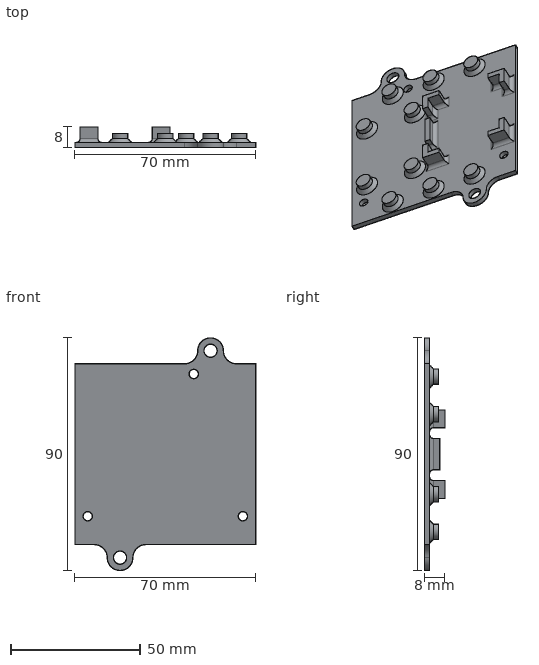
import cadquery as cq

PLATE_SIDE = 70.0
PLATE_THICKNESS = 2.0
HALF_SIDE = PLATE_SIDE / 2

EAR_X = 17.5
EAR_RADIUS = 5.0
EAR_BLEND_RADIUS = 5.0
EAR_HOLE_DIAMETER = 5.0
EAR_Z = HALF_SIDE + EAR_BLEND_RADIUS

PLATE_HOLE_DIAMETER = 3.5
PLATE_HOLES = [(11.0, 31.0), (-30.0, -24.0), (30.0, -24.0)]

STANDOFF_RADIUS = 3.0
STANDOFF_HEIGHT = 3.5
OUTER_ROWS_Z = 30.0
OUTER_COLUMNS_X = (-EAR_X, 0.0, EAR_X)
INNER_ROWS_Z = 15.5
INNER_COLUMNS_X = (8.0, 28.5)

POCKET_LEFT = -33.0
POCKET_WIDTH = 34.9
POCKET_HEIGHT = 34.3
POCKET_CENTER_X = POCKET_LEFT + POCKET_WIDTH / 2
WALL_THICKNESS = 2.2
BRACKET_LEG = 7.0
BRACKET_RISE = 6.0
SIDE_WALL_LENGTH = 12.2
SIDE_WALL_RISE = 4.0

FOOT_SIZE = 1.5

PICK_MARGIN = 0.01


def plane_at(y):
    """Plane parallel to XZ at height y, with local axes X and Z; extruding by a negative length goes to +Y."""
    return cq.Workplane("XZ", origin=(0, y, 0))


def ear_profile():
    """Upper ear: a round end that runs into the plate edge through two concave arcs."""
    inner = EAR_RADIUS
    outer = EAR_RADIUS + EAR_BLEND_RADIUS
    return (
        plane_at(0)
        .moveTo(EAR_X - outer, HALF_SIDE)
        .radiusArc((EAR_X - inner, EAR_Z), -EAR_BLEND_RADIUS)
        .threePointArc((EAR_X, EAR_Z + EAR_RADIUS), (EAR_X + inner, EAR_Z))
        .radiusArc((EAR_X + outer, HALF_SIDE), -EAR_BLEND_RADIUS)
        .close()
    )


def make_plate():
    square = plane_at(0).rect(PLATE_SIDE, PLATE_SIDE).extrude(-PLATE_THICKNESS)
    upper_ear = ear_profile().extrude(-PLATE_THICKNESS)
    lower_ear = upper_ear.rotate((0, 0, 0), (0, 1, 0), 180)
    return square.union(upper_ear).union(lower_ear)


def make_standoff(x, z):
    """Solid of revolution about an axis parallel to Y, its foot resting on the back of the plate."""
    foot_radius = STANDOFF_RADIUS + FOOT_SIZE
    return (
        cq.Workplane("XY", origin=(x, PLATE_THICKNESS, z))
        .polyline([
            (0, 0),
            (foot_radius, 0),
            (STANDOFF_RADIUS, FOOT_SIZE),
            (STANDOFF_RADIUS, STANDOFF_HEIGHT),
            (0, STANDOFF_HEIGHT),
        ])
        .close()
        .revolve(360, (0, 0, 0), (0, 1, 0))
    )


def add_standoffs(body):
    for rows_z, columns_x in ((OUTER_ROWS_Z, OUTER_COLUMNS_X), (INNER_ROWS_Z, INNER_COLUMNS_X)):
        for x in columns_x:
            for z in (-rows_z, rows_z):
                body = body.union(make_standoff(x, z))
    return body


def make_bracket(side_x, side_z):
    """L-shaped bracket whose outer corner is the pocket corner on the given sides (-1 or 1)."""
    corner_x = POCKET_CENTER_X + side_x * POCKET_WIDTH / 2
    corner_z = side_z * POCKET_HEIGHT / 2
    distances_inward = [
        (0, 0),
        (BRACKET_LEG, 0),
        (BRACKET_LEG, WALL_THICKNESS),
        (WALL_THICKNESS, WALL_THICKNESS),
        (WALL_THICKNESS, BRACKET_LEG),
        (0, BRACKET_LEG),
    ]
    outline = [(corner_x - side_x * dx, corner_z - side_z * dz) for dx, dz in distances_inward]
    return plane_at(PLATE_THICKNESS).polyline(outline).close().extrude(-BRACKET_RISE)


def make_side_wall():
    center_x = POCKET_LEFT + POCKET_WIDTH - WALL_THICKNESS / 2
    return (
        plane_at(PLATE_THICKNESS)
        .center(center_x, 0)
        .rect(WALL_THICKNESS, SIDE_WALL_LENGTH)
        .extrude(-SIDE_WALL_RISE)
    )


def add_pocket(body):
    """Add the brackets and the wall, then fillet their feet: the edges on the back face inside the square."""
    for side_x in (-1, 1):
        for side_z in (-1, 1):
            body = body.union(make_bracket(side_x, side_z))
    body = body.union(make_side_wall())
    reach = HALF_SIDE - PICK_MARGIN
    feet = cq.selectors.BoxSelector(
        (-reach, PLATE_THICKNESS - PICK_MARGIN, -reach),
        (reach, PLATE_THICKNESS + PICK_MARGIN, reach),
        boundingbox=True,
    )
    return body.edges(feet).fillet(FOOT_SIZE)


def drill(body, points, diameter):
    holes = plane_at(0).pushPoints(points).circle(diameter / 2).extrude(-PLATE_THICKNESS)
    return body.cut(holes)


result = add_pocket(make_plate())
result = add_standoffs(result)
result = drill(result, PLATE_HOLES, PLATE_HOLE_DIAMETER)
result = drill(result, [(EAR_X, EAR_Z), (-EAR_X, -EAR_Z)], EAR_HOLE_DIAMETER)